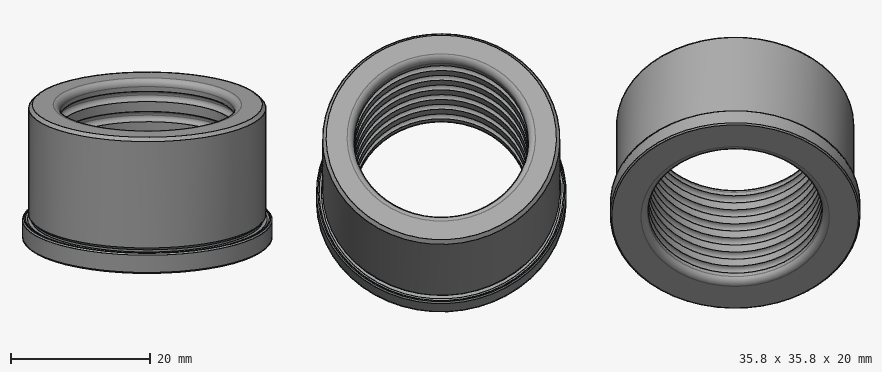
import cadquery as cq
import math

outer_radius = 17.9
height = 20.0
flange_height = 3.0
flange_chamfer = 0.2

body_radius = 17.0
top_chamfer = 0.5

relief_height = 0.6
relief_depth = 0.4
relief_outer_radius = 17.5
relief_floor_radius = 17.2
relief_sink = 0.1

bore_radius = 12.5
mouth_fillet = 1.0
groove_radius = 0.75
groove_pitch = 4 * groove_radius
groove_count = 6


def revolve_profile(profile):
    """Turn a closed radius-height outline about the Z axis."""
    return profile.close().revolve(360, (0, 0, 0), (0, 1, 0))


def make_sleeve():
    """Flanged sleeve with chamfers, corner relief and rounded bore mouths."""
    mouth_radius = bore_radius + mouth_fillet
    arc_offset = mouth_fillet * (1 - math.sqrt(0.5))
    neck_radius = body_radius - relief_depth
    relief_floor = flange_height - relief_sink
    chamfer_radius = outer_radius - flange_chamfer

    profile = (
        cq.Workplane("XZ")
        .moveTo(mouth_radius, 0)
        .lineTo(chamfer_radius, 0)
        .lineTo(outer_radius, flange_chamfer)
        .lineTo(outer_radius, flange_height - flange_chamfer)
        .lineTo(chamfer_radius, flange_height)
        .lineTo(relief_outer_radius, flange_height)
        .lineTo(relief_floor_radius, relief_floor)
        .lineTo(neck_radius, relief_floor)
        .lineTo(neck_radius, flange_height + relief_height - relief_depth)
        .lineTo(body_radius, flange_height + relief_height)
        .lineTo(body_radius, height - top_chamfer)
        .lineTo(body_radius - top_chamfer, height)
        .lineTo(mouth_radius, height)
        .threePointArc(
            (bore_radius + arc_offset, height - arc_offset),
            (bore_radius, height - mouth_fillet),
        )
        .lineTo(bore_radius, mouth_fillet)
        .threePointArc((bore_radius + arc_offset, arc_offset), (mouth_radius, 0))
    )
    return revolve_profile(profile)


def make_ring_groove(center_height):
    """Half-round ring groove cutter centred on the bore wall."""
    center = cq.Vector(0, 0, center_height)
    axis = cq.Vector(0, 0, 1)
    return cq.Workplane(cq.Solid.makeTorus(bore_radius, groove_radius, center, axis))


result = make_sleeve()
first_groove_height = height / 2 - groove_pitch * (groove_count - 1) / 2
for index in range(groove_count):
    result = result.cut(make_ring_groove(first_groove_height + index * groove_pitch))